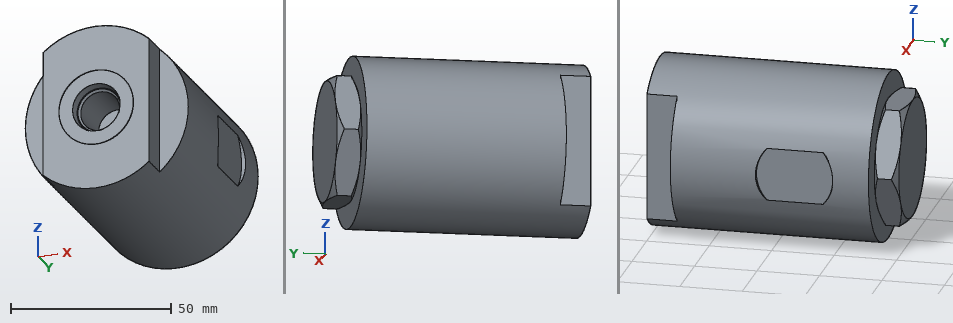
import cadquery as cq
import math

total_length = 81.0
body_diameter = 54.1
nut_thickness = 7.9
nut_across_flats = 38.1
nut_chamfer_diameter = 38.1
nut_chamfer_height = 1.7

wrench_width = 35.2
wrench_length = 9.7

recess_diameter = 24.7
recess_depth = 0.25
bore_mouth_diameter = 15.7
bore_throat_diameter = 14.8
bore_chamfer_diameter = 14.3
bore_mouth_depth = 2.8
bore_diameter = 12.9
bore_chamfer_depth = (bore_chamfer_diameter - bore_diameter) / 2
bore_depth = 20.0

spotface_diameter = 24.7
spotface_depth = 1.4
spotface_from_front = 49.35

body_length = total_length - nut_thickness
body_radius = body_diameter / 2
nut_corner_radius = nut_across_flats / math.sqrt(3)


def revolve_about_y(profile):
    """Turn a closed (radius, y) profile about the Y axis."""
    return cq.Workplane("XY").polyline(profile).close().revolve(360, (0, 0, 0), (0, 1, 0))


def make_body():
    """Round body with two parallel wrench flats at its front end."""
    body = revolve_about_y([(0, 0), (body_radius, 0), (body_radius, body_length), (0, body_length)])
    flat_depth = body_radius - wrench_width / 2
    for side in (-1, 1):
        flat = cq.Workplane("XY").box(flat_depth, wrench_length, body_diameter)
        flat_center = side * (wrench_width + flat_depth) / 2
        body = body.cut(flat.translate((flat_center, wrench_length / 2, 0)))
    return body


def make_nut():
    """Hexagon with corners on +X and -X, its corners turned down at both faces."""
    hexagon = (
        cq.Workplane("XZ", origin=(0, total_length, 0))
        .polygon(6, 2 * nut_corner_radius)
        .extrude(nut_thickness)
    )
    face_radius = nut_chamfer_diameter / 2
    envelope = revolve_about_y([
        (0, body_length),
        (face_radius, body_length),
        (nut_corner_radius, body_length + nut_chamfer_height),
        (nut_corner_radius, total_length - nut_chamfer_height),
        (face_radius, total_length),
        (0, total_length),
    ])
    return hexagon.intersect(envelope)


def make_front_bore():
    """Shallow recess, tapered mouth, flat step, 45 degree lead-in and blind bore."""
    mouth_end = recess_depth + bore_mouth_depth
    return revolve_about_y([
        (0, 0),
        (recess_diameter / 2, 0),
        (recess_diameter / 2, recess_depth),
        (bore_mouth_diameter / 2, recess_depth),
        (bore_throat_diameter / 2, mouth_end),
        (bore_chamfer_diameter / 2, mouth_end),
        (bore_diameter / 2, mouth_end + bore_chamfer_depth),
        (bore_diameter / 2, bore_depth),
        (0, bore_depth),
    ])


def make_spotface():
    """Round flat-bottomed cut into the +X side of the body."""
    floor_x = body_radius - spotface_depth
    return (
        cq.Workplane("YZ", origin=(floor_x, spotface_from_front, 0))
        .circle(spotface_diameter / 2)
        .extrude(body_radius)
    )


part = make_body().union(make_nut()).cut(make_front_bore()).cut(make_spotface())

result = part.translate((0, -total_length / 2, 0))